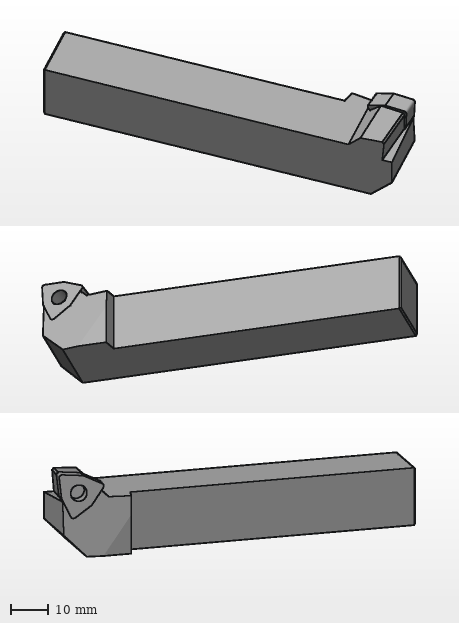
import cadquery as cq
import math

shank_size = 16.0
holder_length = 99.3
rear_chamfer = 0.4
nose_chamfer = 6.0
head_width = 20.0
head_start = 80.0
head_flank_run = 1.0
ramp_start = 86.9
ramp_rise = 8.0

insert_radius = 4.8
insert_thickness = 4.8
corner_angle = 80.0
corner_radius = 0.8
insert_bore = 4.4
insert_turn = 44.5
corner_count = 3

lean_x = math.tan(math.radians(8.3))
lean_z = math.tan(math.radians(6.0))
insert_center = (94.9, 17.3, 17.3)

crown_left = (-8.0, 3.6)
crown_right = (4.1, 4.3)
nose_corner = (4.6, 3.7)
notch_corner = (4.1, -2.2)
cut_reach = 30.0

insert_plane = cq.Plane(
    origin=insert_center,
    xDir=(1, -lean_x, 0),
    normal=(-lean_x, -1, -lean_z),
)


def make_blank():
    """Square shank with its widened head, ramp and nose bevel."""
    top_z = shank_size + ramp_rise
    side = (
        cq.Workplane("XZ")
        .polyline([
            (0, 0),
            (holder_length - nose_chamfer, 0),
            (holder_length, nose_chamfer),
            (holder_length, top_z),
            (ramp_start + ramp_rise, top_z),
            (ramp_start, shank_size),
            (0, shank_size),
        ])
        .close()
        .extrude(-head_width)
    )
    footprint = (
        cq.Workplane("XY")
        .polyline([
            (0, 0),
            (holder_length, 0),
            (holder_length, head_width),
            (head_start + head_flank_run, head_width),
            (head_start, shank_size),
            (0, shank_size),
        ])
        .close()
        .extrude(top_z)
    )
    return side.intersect(footprint).faces("<X").chamfer(rear_chamfer)


def make_relief():
    """Cutter that trims the head's far side flush with the insert face."""
    return cq.Workplane(insert_plane).rect(2 * cut_reach, 2 * cut_reach).extrude(-cut_reach)


def make_clearance():
    """Cutter above the head crown and in front of its nose, along the insert axis."""
    return (
        cq.Workplane(insert_plane)
        .polyline([
            crown_left,
            crown_right,
            nose_corner,
            notch_corner,
            (cut_reach, notch_corner[1]),
            (cut_reach, cut_reach),
            (crown_left[0], cut_reach),
        ])
        .close()
        .extrude(cut_reach)
    )


def polar(radius, degrees):
    """Point in the insert plane at a distance and direction from its centre."""
    angle = math.radians(degrees)
    return (radius * math.cos(angle), radius * math.sin(angle))


def make_insert_blank():
    """Trigon with rounded cutting corners, also the shape of the pocket."""
    step = 360 / corner_count
    half_corner = corner_angle / 2
    normal_angle = 90 - half_corner
    sharp_distance = insert_radius / math.sin(math.radians(half_corner))
    side_distance = insert_radius / math.cos(math.radians(step / 2 - normal_angle))

    arc_center = sharp_distance - corner_radius / math.sin(math.radians(half_corner))
    touch_x, touch_y = polar(corner_radius, normal_angle)
    touch_distance = math.hypot(arc_center + touch_x, touch_y)
    touch_angle = math.degrees(math.atan2(touch_y, arc_center + touch_x))

    outline = cq.Workplane(insert_plane).moveTo(*polar(side_distance, insert_turn - step / 2))
    for corner in range(corner_count):
        direction = insert_turn + corner * step
        outline = outline.lineTo(*polar(touch_distance, direction - touch_angle))
        outline = outline.threePointArc(
            polar(arc_center + corner_radius, direction),
            polar(touch_distance, direction + touch_angle),
        )
        if corner < corner_count - 1:
            outline = outline.lineTo(*polar(side_distance, direction + step / 2))
    return outline.close().extrude(insert_thickness)


def make_insert():
    """Finished insert with its central bore."""
    bore = cq.Workplane(insert_plane).circle(insert_bore / 2).extrude(insert_thickness)
    return make_insert_blank().cut(bore)


insert = make_insert()
holder = make_blank().cut(make_relief()).cut(make_clearance()).cut(make_insert_blank())

result = cq.Compound.makeCompound([holder.val(), insert.val()])